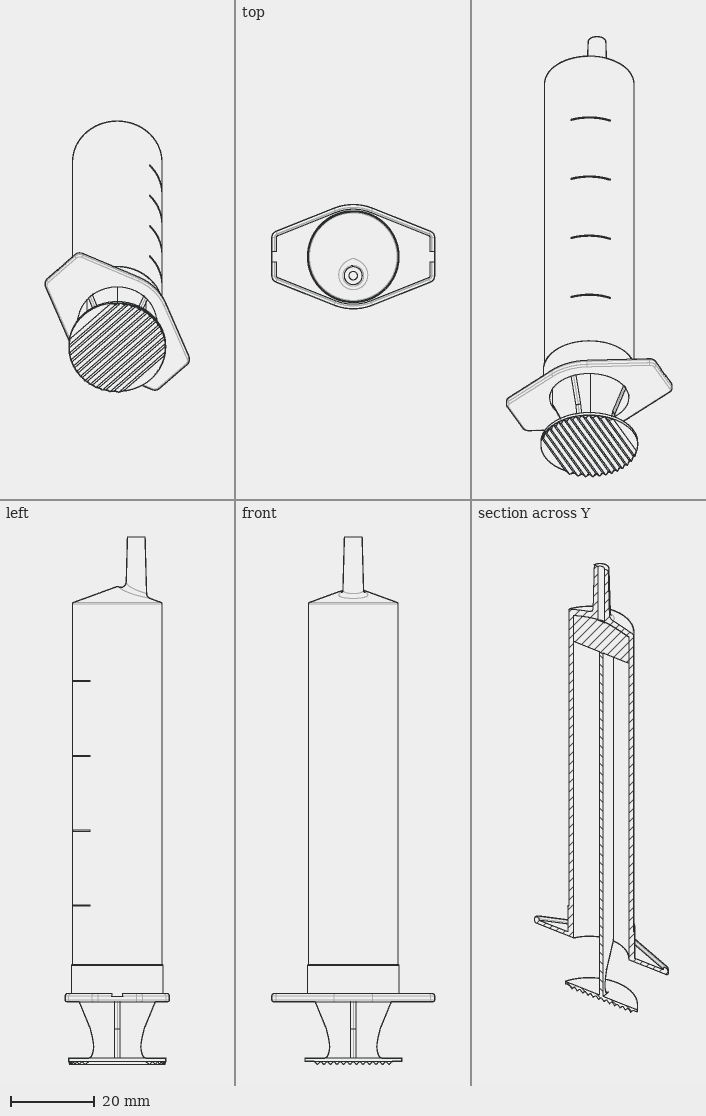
import cadquery as cq
import math

total_height = 126.0
slack = 1.3

barrel_radius = 10.7
bore_radius = 9.5
collar_radius = 11.0
collar_taper = 0.3
collar_top = 24.0
shoulder_height = 110.3
shoulder_round = 0.4
cone_height = 3.9
cone_slope = cone_height / barrel_radius
end_wall = 1.9

mark_count = 4
top_mark_height = 91.6
mark_pitch = 17.9
mark_width = 0.3
mark_depth = 0.1
mark_end_y = 6.5

nozzle_y = -4.5
nozzle_tip_radius = 2.1
nozzle_base_radius = 2.6
nozzle_base = 107.7
nozzle_bore_radius = 1.0
nozzle_fillet = 1.3

flange_bottom = 15.0
flange_floor = 16.3
flange_top = 17.0
flange_length = 39.0
flange_half_length = flange_length / 2
flange_waist_radius = 12.5
flange_corner_y = 5.7
flange_corner_radius = 1.6
flange_bottom_round = 0.44
rim_width = 1.1
rim_outer_round = 0.69
rim_inner_round = 0.4
rim_gap = 2.5

disc_radius = 11.6
disc_bottom = 0.8
disc_top = 1.5
tooth_count = 12
tooth_row_width = 18.6
tooth_pitch = tooth_row_width / tooth_count
ridge_radius = 11.5
rib_thickness = 1.3
rib_half_width = 9.3
rib_foot_half_width = 7.2
rib_ankle_half_width = 5.9
rib_ankle_height = 2.6
rib_waist_half_width = 5.7
rib_waist_height = 4.5
rib_shoulder_half_width = 6.4
rib_shoulder_height = 8.5
rib_flare_height = 15.5
flare_slope = (rib_half_width - rib_shoulder_half_width) / (rib_flare_height - rib_shoulder_height)

stopper_length = 7.5
bore_end = shoulder_height + cone_height - end_wall - cone_slope * bore_radius
stopper_back = bore_end - stopper_length


def cylinder(radius, bottom, top):
    return cq.Workplane("XY").workplane(offset=bottom).circle(radius).extrude(top - bottom)


def coned_cylinder(radius, bottom, shoulder):
    """Cylinder about Z that ends in a cone with the slope of the barrel end."""
    return (
        cq.Workplane("XZ")
        .moveTo(0, bottom)
        .lineTo(radius, bottom)
        .lineTo(radius, shoulder)
        .lineTo(0, shoulder + cone_slope * radius)
        .close()
        .revolve(360, (0, 0, 0), (0, 1, 0))
    )


def edges_between(body, half_width, center_y, bottom, top):
    """Edges of body that lie wholly within a square column about (0, center_y)."""
    box = cq.selectors.BoxSelector(
        (-half_width, center_y - half_width, bottom),
        (half_width, center_y + half_width, top),
        boundingbox=True,
    )
    return body.edges(box)


def flange_prism(inset, bottom, top):
    """Six-sided plate with a rounded waist, its outline moved inward by inset."""
    corner_reach = math.hypot(flange_half_length, flange_corner_y)
    normal = math.atan2(flange_corner_y, flange_half_length) + math.acos(flange_waist_radius / corner_reach)
    radius = flange_waist_radius - inset
    end_x = flange_half_length - inset
    end_y = (radius - end_x * math.cos(normal)) / math.sin(normal)
    tangent_x = radius * math.cos(normal)
    tangent_y = radius * math.sin(normal)
    return (
        cq.Workplane("XY")
        .workplane(offset=bottom)
        .moveTo(end_x, -end_y)
        .lineTo(end_x, end_y)
        .lineTo(tangent_x, tangent_y)
        .threePointArc((0, radius), (-tangent_x, tangent_y))
        .lineTo(-end_x, end_y)
        .lineTo(-end_x, -end_y)
        .lineTo(-tangent_x, -tangent_y)
        .threePointArc((0, -radius), (tangent_x, -tangent_y))
        .close()
        .extrude(top - bottom)
        .edges("|Z and (>X or <X)")
        .fillet(flange_corner_radius - inset)
    )


def make_flange():
    """Plate with a rounded rim that is interrupted at the middle of both ends."""
    plate = flange_prism(0, flange_bottom, flange_top)
    plate = plate.faces("<Z").edges().fillet(flange_bottom_round)
    plate = plate.faces(">Z").edges().fillet(rim_outer_round)
    rimmed = plate.cut(flange_prism(rim_width, flange_floor, flange_top))
    inner_wire = rimmed.faces(">Z").val().innerWires()[0]
    rimmed = rimmed.newObject(inner_wire.Edges()).fillet(rim_inner_round)
    gap = (
        cq.Workplane("XY")
        .workplane(offset=flange_floor)
        .rect(2 * (flange_half_length + slack), rim_gap)
        .extrude(flange_top - flange_floor)
    )
    return rimmed.cut(gap)


def make_nozzle():
    return (
        cq.Workplane("XY")
        .workplane(offset=nozzle_base)
        .center(0, nozzle_y)
        .circle(nozzle_base_radius)
        .workplane(offset=total_height - nozzle_base)
        .circle(nozzle_tip_radius)
        .loft()
    )


def make_collar():
    collar = cylinder(collar_radius, flange_bottom, collar_top)
    return collar.faces(">Z").chamfer(collar_taper, collar_radius - barrel_radius)


def make_mark(height):
    """Shallow groove around the -X, +Y part of the barrel."""
    ring = cylinder(barrel_radius + slack, height - mark_width / 2, height + mark_width / 2)
    ring = ring.cut(cylinder(barrel_radius - mark_depth, height - mark_width, height + mark_width))
    reach = barrel_radius + slack
    window = cq.Workplane("XY").box(reach, reach, slack, centered=False)
    return ring.intersect(window.translate((-reach, mark_end_y, height - slack / 2)))


def make_barrel():
    body = coned_cylinder(barrel_radius, flange_bottom, shoulder_height)
    shoulder_edge = edges_between(
        body, collar_radius, 0, shoulder_height - shoulder_round, shoulder_height + shoulder_round
    )
    body = shoulder_edge.fillet(shoulder_round)
    body = body.union(make_nozzle())
    foot_reach = nozzle_base_radius + slack
    nozzle_foot = edges_between(
        body, foot_reach, nozzle_y, shoulder_height, shoulder_height + cone_height
    )
    body = nozzle_foot.fillet(nozzle_fillet)
    body = body.union(make_collar()).union(make_flange())
    body = body.cut(coned_cylinder(bore_radius, flange_bottom, bore_end))
    body = body.cut(cylinder(nozzle_bore_radius, bore_end, total_height).translate((0, nozzle_y, 0)))
    for number in range(mark_count):
        body = body.cut(make_mark(top_mark_height - number * mark_pitch))
    return body


def make_rib():
    """Flat plate in the XZ plane, waisted between the disc and the barrel."""
    half = (
        cq.Workplane("XZ")
        .moveTo(0, disc_top)
        .lineTo(rib_foot_half_width, disc_top)
        .spline(
            [
                (rib_ankle_half_width, rib_ankle_height),
                (rib_waist_half_width, rib_waist_height),
                (rib_shoulder_half_width, rib_shoulder_height),
                (rib_half_width, rib_flare_height),
            ],
            tangents=[(-1, 0), (flare_slope, 1)],
            includeCurrent=True,
        )
        .lineTo(rib_half_width, stopper_back)
        .lineTo(0, stopper_back)
        .close()
        .extrude(rib_thickness / 2, both=True)
    )
    return half.union(half.mirror("YZ"))


def make_teeth():
    """Row of triangular ridges along Y under the disc."""
    first = -tooth_row_width / 2
    outline = cq.Workplane("XZ").moveTo(first, disc_bottom)
    for number in range(tooth_count):
        outline = outline.lineTo(first + (number + 0.5) * tooth_pitch, 0)
        outline = outline.lineTo(first + (number + 1) * tooth_pitch, disc_bottom)
    ridges = outline.lineTo(-first, disc_top).lineTo(first, disc_top).close().extrude(disc_radius, both=True)
    return ridges.intersect(cylinder(ridge_radius, 0, disc_top))


def make_plunger():
    rib = make_rib()
    cross = rib.union(rib.rotate((0, 0, 0), (0, 0, 1), 90))
    return cylinder(disc_radius, disc_bottom, disc_top).union(cross).union(make_teeth())


def make_stopper():
    return coned_cylinder(bore_radius, stopper_back, bore_end)


barrel = make_barrel()
plunger = make_plunger()
stopper = make_stopper()
result = cq.Compound.makeCompound([barrel.val(), plunger.val(), stopper.val()])